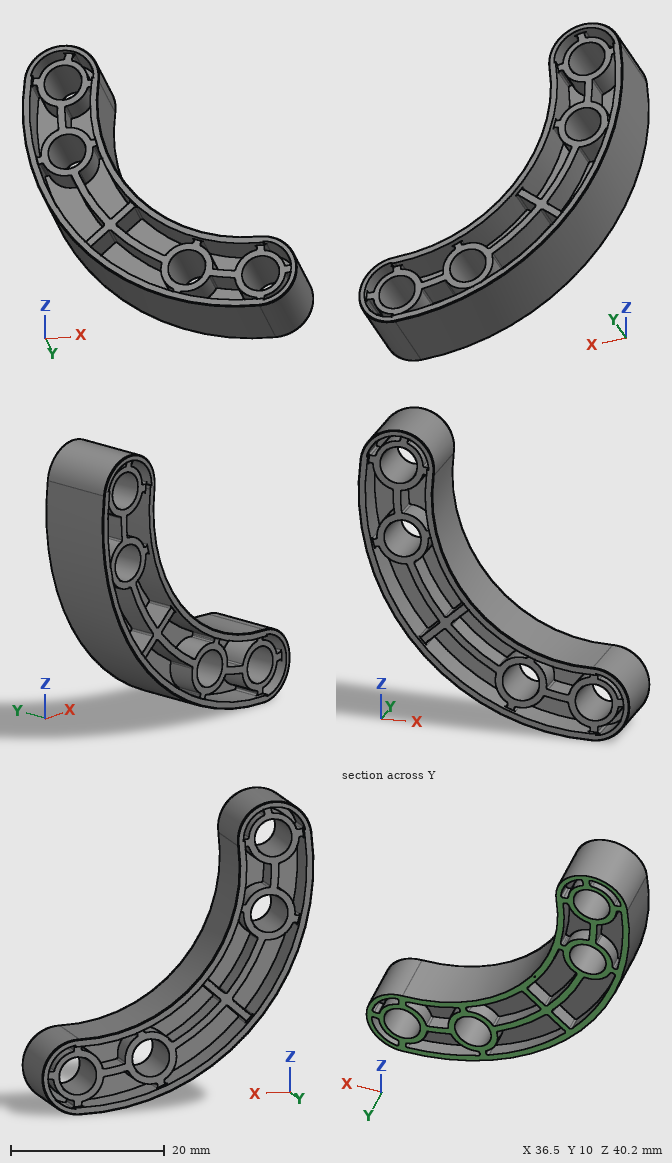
import cadquery as cq
import math

height = 40.2
thickness = 10.0
beam_width = 10.0
hole_pitch = 10.0
hole_diameter = 5.0
arc_radius = 26.55
side_wall = 0.95
end_wall = 0.75
tube_radius = 3.45
end_tube_radius = 3.3
rib_width = 1.0
rib_recess = 0.8
web_thickness = 0.8
pocket_fillet = 0.25
rim_chamfer = 0.12

end_radius = beam_width / 2
last_angle = 270.0
end_rise = height - arc_radius - beam_width
first_angle = 180.0 - math.degrees(math.asin(end_rise / arc_radius))
pitch_angle = math.degrees(2 * math.asin(hole_pitch / (2 * arc_radius)))
middle_angle = (first_angle + last_angle) / 2
end_turns = {first_angle: -1, last_angle: 1}
hole_angles = [first_angle, first_angle + pitch_angle, last_angle - pitch_angle, last_angle]

half_thickness = thickness / 2
half_web = web_thickness / 2
rib_level = half_thickness - rib_recess
inner_half_width = end_radius - side_wall
end_pocket_radius = end_radius - end_wall


def arc_point(radius, angle):
    """Point at the given polar position about the arc centre."""
    a = math.radians(angle)
    return (radius * math.cos(a), radius * math.sin(a))


def slab(sketch, y_start, y_end):
    """Extrude a flat outline from one Y level to a higher one."""
    return sketch(cq.Workplane("XZ", origin=(0, y_end, 0))).extrude(y_end - y_start)


def curved_band(half_width, start, end):
    """Outline of a band that follows the centreline between two angles."""
    outer = arc_radius + half_width
    inner = arc_radius - half_width
    middle = (start + end) / 2

    def draw(plane):
        return (
            plane.moveTo(*arc_point(outer, start))
            .threePointArc(arc_point(outer, middle), arc_point(outer, end))
            .lineTo(*arc_point(inner, end))
            .threePointArc(arc_point(inner, middle), arc_point(inner, start))
            .close()
        )

    return draw


def end_segment(radius, angle, turn, offset=0.0):
    """Part of a circle on the arc that lies beyond the radial line, by at least the offset.

    A turn of -1 takes the side of decreasing angle, +1 the side of increasing angle.
    """
    cx, cz = arc_point(arc_radius, angle)
    half_chord = math.sqrt(radius**2 - offset**2)
    dx, dz = arc_point(half_chord, angle)
    ox, oz = arc_point(offset, angle + turn * 90)
    tx, tz = arc_point(radius, angle + turn * 90)

    def draw(plane):
        return (
            plane.moveTo(cx + ox + dx, cz + oz + dz)
            .threePointArc((cx + tx, cz + tz), (cx + ox - dx, cz + oz - dz))
            .close()
        )

    return draw


def discs(radius, angles):
    """Outline of equal circles centred on the arc at the given angles."""
    return lambda plane: plane.pushPoints([arc_point(arc_radius, a) for a in angles]).circle(radius)


def capped_band(half_width, y_start, y_end):
    """Band over the whole arc, rounded at each end."""
    band = slab(curved_band(half_width, first_angle, last_angle), y_start, y_end)
    for angle, turn in end_turns.items():
        band = band.union(slab(end_segment(half_width, angle, turn), y_start, y_end))
    return band


def cavity_outline(y_start, y_end):
    """Space inside the walls; it widens beyond the last radial ribs, where the wall is thinner."""
    space = capped_band(inner_half_width, y_start, y_end)
    for angle, turn in end_turns.items():
        widening = end_segment(end_pocket_radius, angle, turn, rib_width / 2)
        space = space.union(slab(widening, y_start, y_end))
    return space


def radial_rib(angle, y_start, y_end):
    """Straight rib across the beam at one angle."""
    bar = cq.Workplane("XY").box(2 * end_radius, y_end - y_start, rib_width)
    bar = bar.translate((arc_radius, (y_start + y_end) / 2, 0))
    return bar.rotate((0, 0, 0), (0, 1, 0), -angle)


def ribs_and_tubes(y_start, y_end):
    """Tubes around the holes, the rib along the centreline and the ribs across the beam."""
    overrun = math.degrees(end_radius / arc_radius)
    ribs = slab(curved_band(rib_width / 2, first_angle - overrun, last_angle + overrun), y_start, y_end)
    ribs = ribs.union(slab(discs(tube_radius, hole_angles[1:-1]), y_start, y_end))
    for angle, turn in end_turns.items():
        ribs = ribs.union(slab(end_segment(tube_radius, angle, -turn), y_start, y_end))
        ribs = ribs.union(slab(end_segment(end_tube_radius, angle, turn), y_start, y_end))
    for angle in hole_angles + [middle_angle]:
        ribs = ribs.union(radial_rib(angle, y_start, y_end))
    return ribs


def face_cavity():
    """Everything removed from the +Y face: pockets between the ribs and the recess above them."""
    pockets = cavity_outline(half_web, half_thickness)
    pockets = pockets.cut(ribs_and_tubes(half_web, half_thickness))
    pockets = pockets.edges("|Y").fillet(pocket_fillet)
    recess = cavity_outline(rib_level, half_thickness)
    return pockets.union(recess)


body = capped_band(end_radius, -half_thickness, half_thickness)
body = body.faces("<Y or >Y").chamfer(rim_chamfer)

cavity = face_cavity()
body = body.cut(cavity).cut(cavity.mirror("XZ"))

holes = slab(discs(hole_diameter / 2, hole_angles), -half_thickness, half_thickness)
result = body.cut(holes)